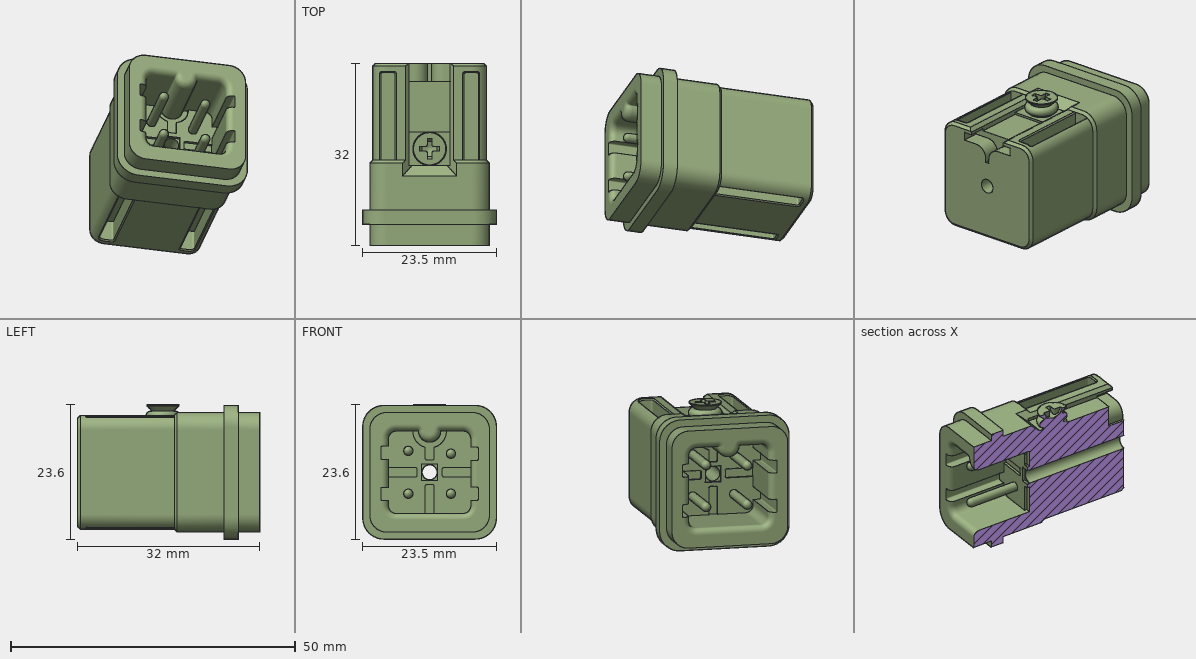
import cadquery as cq
import math


LENGTH = 32.0
FRONT_SIZE = 21.0
FRONT_CORNER_RADIUS = 3.0
STEP = 0.5
SHOULDER_Y = 15.0
REAR_SIZE = FRONT_SIZE - 2 * STEP
REAR_CORNER_RADIUS = FRONT_CORNER_RADIUS - STEP
FRONT_TOP = FRONT_SIZE / 2

FLANGE_SIZE = 23.5
FLANGE_CORNER_RADIUS = 3.75
FLANGE_Y = 3.75
FLANGE_THICKNESS = 2.55

CAVITY_HALF = 7.23
CAVITY_DEPTH = 11.4
CAVITY_CORNER_RADIUS = 1.4
KEY_RADIUS = 1.95
KEY_ROOT_RADIUS = 0.1
MOUTH_RADIUS = 1.13

GUIDE_HALF_SPAN = 8.55
GUIDE_HEIGHT = 2.3
GUIDE_CORNER_RADIUS = 0.2
GUIDE_CENTRES_Z = {-1: (3.42, -3.8), 1: (3.26, -3.77)}

RELIEF_DEPTH = 0.5
RELIEF_WIDTH = 1.6
RELIEF_INNER_END = 2.18
RELIEF_CHAMFER = 0.2
KEY_RELIEF_RADIUS = 2.95

HOLE_DIAMETER = 2.6
HOLE_RECESS_SIZE = 2.85
HOLE_RECESS_DEPTH = 0.5

PIN_RADIUS = 0.81
PIN_TIP_Y = 1.3
PIN_X = 3.74
PIN_Z = 3.76
RAISED_PIN_Z = 3.26

SLOT_DEPTH = 4.0
SLOT_CENTRE_X = 7.3
SLOT_WIDTH = 2.54
SLOT_END_Y = 30.35
SLOT_CORNER_RADIUS = 0.3
SLOT_CHAMFER = 0.23

BAY_START_Y = 12.27
BAY_HALF_WIDTH = 4.72
BAY_SLOPE_DEPTH = 1.62
BAY_SLOPE_LENGTH = 1.77
WELL_HALF_WIDTH = 3.6
WELL_FLOOR = FRONT_TOP - BAY_SLOPE_DEPTH
WELL_START_Y = BAY_START_Y + BAY_SLOPE_LENGTH
SHELF_START_Y = 19.93
SHELF_FLOOR = 8.5
SHELF_END_Y = 28.77

ENTRY_HALF_WIDTH = 5.2
ENTRY_FLOOR = 7.4
ENTRY_SLOT_HALF_WIDTH = 0.35
ENTRY_LIP_RADIUS = 2.15
ENTRY_SLOT_FLOOR = 4.5

SCREW_Y = 17.0
SCREW_TOP = 11.85
HEAD_RADIUS = 2.83
HEAD_RIM = 0.2
HEAD_CONE_RADIUS = 1.9
WASHER_TOP = 10.73
WASHER_TUBE_RADIUS = 0.8
WASHER_RADIUS = 2.95
CROSS_LENGTH = 3.55
CROSS_WIDTH = 0.82
CROSS_DEPTH = 1.0
CROSS_END_TAPER = 0.45
CROSS_INNER_RADIUS = 0.3
CROSS_POINT_DEPTH = 0.4

CLEAR = 2.0
MARGIN = 0.1
ROOT_OVERLAP = 0.2
FULL_ROUND = 0.999


def box(x0, x1, y0, y1, z0, z1):
    return cq.Workplane("XY").box(x1 - x0, y1 - y0, z1 - z0, centered=False).translate((x0, y0, z0))


def section_plane(y):
    """Plane across the insert axis with local X = X and local Y = Z."""
    return cq.Workplane("XZ", origin=(0, y, 0))


def rounded_block(size, radius, y0, y1):
    block = section_plane(y0).rect(size, size).extrude(y0 - y1)
    return block.edges("|Y").fillet(radius)


def rod(radius, x, z, y0, y1):
    return section_plane(y0).center(x, z).circle(radius).extrude(y0 - y1)


def front_section():
    body = rounded_block(FRONT_SIZE, FRONT_CORNER_RADIUS, 0, SHOULDER_Y)
    body = body.faces(">Y").edges().chamfer(STEP)

    cavity = rounded_block(2 * CAVITY_HALF, CAVITY_CORNER_RADIUS, 0, CAVITY_DEPTH)
    cavity = cavity.cut(rod(KEY_RADIUS, 0, CAVITY_HALF, 0, CAVITY_DEPTH))
    near_key = cq.selectors.BoxSelector(
        (-KEY_RADIUS - MARGIN, -MARGIN, CAVITY_HALF - MARGIN),
        (KEY_RADIUS + MARGIN, LENGTH, CAVITY_HALF + MARGIN),
    )
    cavity = cavity.edges("|Y").edges(near_key).fillet(KEY_ROOT_RADIUS)
    body = body.cut(cavity)

    reach = CAVITY_HALF + MARGIN
    mouth = cq.selectors.BoxSelector((-reach, -MARGIN, -reach), (reach, MARGIN, reach))
    return body.faces("<Y").edges(mouth).fillet(MOUTH_RADIUS)


def rear_section():
    body = rounded_block(REAR_SIZE, REAR_CORNER_RADIUS, SHOULDER_Y, LENGTH)
    body = body.faces(">Y").edges().chamfer(STEP)
    for side_x in (-1, 1):
        for side_z in (-1, 1):
            body = slotted(body, side_x * SLOT_CENTRE_X, side_z)
    return body


def slotted(body, centre_x, side_z):
    """Cut one blind slot, open at the shoulder, and chamfer its mouth."""
    half = SLOT_WIDTH / 2
    floor = REAR_SIZE / 2 - SLOT_DEPTH
    low, high = sorted((side_z * floor, side_z * (REAR_SIZE / 2 + CLEAR)))
    slot = box(centre_x - half, centre_x + half, SHOULDER_Y - CLEAR, SLOT_END_Y, low, high)
    slot = slot.edges("|Z and >Y").fillet(SLOT_CORNER_RADIUS)
    body = body.cut(slot)
    low, high = sorted((side_z * (floor + SLOT_DEPTH / 2), side_z * (REAR_SIZE / 2 + CLEAR)))
    mouth = cq.selectors.BoxSelector(
        (centre_x - half - MARGIN, SHOULDER_Y + MARGIN, low),
        (centre_x + half + MARGIN, SLOT_END_Y + MARGIN, high),
    )
    return body.edges(mouth).edges("not |Z").chamfer(SLOT_CHAMFER)


def guide_grooves():
    grooves = cq.Workplane("XY")
    for side, centres in GUIDE_CENTRES_Z.items():
        x0, x1 = sorted((side * (CAVITY_HALF - CLEAR / 2), side * GUIDE_HALF_SPAN))
        outer_edges = "|Y and >X" if side > 0 else "|Y and <X"
        for z in centres:
            groove = box(x0, x1, -CLEAR, CAVITY_DEPTH, z - GUIDE_HEIGHT / 2, z + GUIDE_HEIGHT / 2)
            grooves = grooves.add(groove.edges(outer_edges).fillet(GUIDE_CORNER_RADIUS))
    return grooves.combine()


def floor_reliefs():
    """Cross of four grooves in the cavity floor; the upper one opens into a ring round the key."""
    y0 = CAVITY_DEPTH
    y1 = CAVITY_DEPTH + RELIEF_DEPTH
    half = RELIEF_WIDTH / 2
    arm = box(RELIEF_INNER_END, CAVITY_HALF, y0, y1, -half, half)
    arm = arm.edges("|Y and <X").chamfer(RELIEF_CHAMFER)
    reliefs = rod(KEY_RELIEF_RADIUS, 0, CAVITY_HALF, y0, y1)
    reliefs = reliefs.intersect(box(-LENGTH, LENGTH, y0, y1, 0, CAVITY_HALF))
    for quarter in range(4):
        reliefs = reliefs.union(arm.rotate((0, 0, 0), (0, 1, 0), 90 * quarter))
    return reliefs.cut(rod(KEY_RADIUS, 0, CAVITY_HALF, y0, y1))


def centre_hole():
    half = HOLE_RECESS_SIZE / 2
    recess = box(-half, half, CAVITY_DEPTH, CAVITY_DEPTH + HOLE_RECESS_DEPTH, -half, half)
    return recess.union(rod(HOLE_DIAMETER / 2, 0, 0, CAVITY_DEPTH, LENGTH + CLEAR))


def pin(x, z):
    """Contact pin with a hemispherical tip, rooted in the cavity floor."""
    shaft = rod(PIN_RADIUS, x, z, PIN_TIP_Y, CAVITY_DEPTH + RELIEF_DEPTH)
    return shaft.faces("<Y").edges().fillet(FULL_ROUND * PIN_RADIUS)


def terminal_bay():
    """Sloped opening, square well under the screw and the lower shelf behind it."""
    top = FRONT_TOP + CLEAR
    end = LENGTH + CLEAR
    half_top = BAY_HALF_WIDTH + CLEAR
    half_floor = BAY_HALF_WIDTH - BAY_SLOPE_DEPTH
    side_slopes = (
        section_plane(0)
        .polyline([(-half_top, top), (half_top, top), (half_floor, WELL_FLOOR), (-half_floor, WELL_FLOOR)])
        .close()
        .extrude(-end)
    )
    slope_top_y = BAY_START_Y - CLEAR * BAY_SLOPE_LENGTH / BAY_SLOPE_DEPTH
    front_slope = (
        cq.Workplane("YZ")
        .polyline([(slope_top_y, top), (WELL_START_Y, WELL_FLOOR), (end, WELL_FLOOR), (end, top)])
        .close()
        .extrude(half_top, both=True)
    )
    well = box(-WELL_HALF_WIDTH, WELL_HALF_WIDTH, WELL_START_Y, end, WELL_FLOOR, top)
    shelf = box(-WELL_HALF_WIDTH, WELL_HALF_WIDTH, SHELF_START_Y, end, SHELF_FLOOR, top)
    return side_slopes.intersect(front_slope).union(well).union(shelf)


def wire_entry():
    """Undercut behind the shelf with a narrow slot between two rounded lips."""
    end = LENGTH + CLEAR
    undercut = box(-ENTRY_HALF_WIDTH, ENTRY_HALF_WIDTH, SHELF_END_Y, end, ENTRY_FLOOR, WELL_FLOOR)
    lip_x = ENTRY_SLOT_HALF_WIDTH + ENTRY_LIP_RADIUS
    lip_z = ENTRY_FLOOR - ENTRY_LIP_RADIUS
    gap = box(-lip_x, lip_x, SHELF_END_Y, end, lip_z, ENTRY_FLOOR)
    for side in (-1, 1):
        gap = gap.cut(rod(ENTRY_LIP_RADIUS, side * lip_x, lip_z, SHELF_END_Y, end))
    slot = box(-ENTRY_SLOT_HALF_WIDTH, ENTRY_SLOT_HALF_WIDTH, SHELF_END_Y, end, ENTRY_SLOT_FLOOR, ENTRY_FLOOR)
    return undercut.union(gap).union(slot)


def terminal_screw():
    """Countersunk head over a rounded washer, standing on the well floor."""
    core_radius = WASHER_RADIUS - WASHER_TUBE_RADIUS
    washer_mid = WASHER_TOP - WASHER_TUBE_RADIUS
    root = WELL_FLOOR - ROOT_OVERLAP
    profile = (
        cq.Workplane("XZ")
        .moveTo(0, root)
        .lineTo(core_radius, root)
        .lineTo(core_radius, washer_mid - WASHER_TUBE_RADIUS)
        .threePointArc((WASHER_RADIUS, washer_mid), (core_radius, WASHER_TOP))
        .lineTo(HEAD_CONE_RADIUS, WASHER_TOP)
        .lineTo(HEAD_RADIUS, SCREW_TOP - HEAD_RIM)
        .lineTo(HEAD_RADIUS, SCREW_TOP)
        .lineTo(0, SCREW_TOP)
        .close()
    )
    screw = profile.revolve(360, (0, 0, 0), (0, 1, 0))
    return screw.cut(cross_recess()).translate((0, SCREW_Y, 0))


def cross_recess():
    """Cross-shaped driver recess with tapered arm ends and a conical bottom."""
    half = CROSS_LENGTH / 2
    total_depth = CROSS_DEPTH + CROSS_POINT_DEPTH
    arm = box(-half, half, -CROSS_WIDTH / 2, CROSS_WIDTH / 2, SCREW_TOP - total_depth, SCREW_TOP)
    cross = arm.union(arm.rotate((0, 0, 0), (0, 0, 1), 90))
    inner_corners = cq.selectors.BoxSelector(
        (-CROSS_WIDTH, -CROSS_WIDTH, 0), (CROSS_WIDTH, CROSS_WIDTH, SCREW_TOP)
    )
    cross = cross.edges("|Z").edges(inner_corners).fillet(CROSS_INNER_RADIUS)

    end_angle = math.degrees(math.atan2(CROSS_END_TAPER, CROSS_DEPTH))
    top_plane = cq.Workplane("XY", origin=(0, 0, SCREW_TOP))
    envelope = top_plane.rect(CROSS_LENGTH, CROSS_LENGTH).extrude(-CROSS_DEPTH, taper=end_angle)
    point = cq.Workplane(cq.Solid.makeCone(
        half - CROSS_END_TAPER, 0, CROSS_POINT_DEPTH,
        pnt=cq.Vector(0, 0, SCREW_TOP - CROSS_DEPTH), dir=cq.Vector(0, 0, -1),
    ))
    return cross.intersect(envelope.union(point))


def flange_ring():
    end = FLANGE_Y + FLANGE_THICKNESS
    outer = rounded_block(FLANGE_SIZE, FLANGE_CORNER_RADIUS, FLANGE_Y, end)
    return outer.cut(rounded_block(FRONT_SIZE, FRONT_CORNER_RADIUS, FLANGE_Y, end))


housing = front_section().union(rear_section())
housing = housing.union(flange_ring())

for tool in (guide_grooves(), floor_reliefs(), centre_hole(), terminal_bay(), wire_entry()):
    housing = housing.cut(tool)

for pin_x, pin_z in ((-PIN_X, PIN_Z), (PIN_X, RAISED_PIN_Z), (-PIN_X, -PIN_Z), (PIN_X, -PIN_Z)):
    housing = housing.union(pin(pin_x, pin_z))

result = housing.union(terminal_screw())